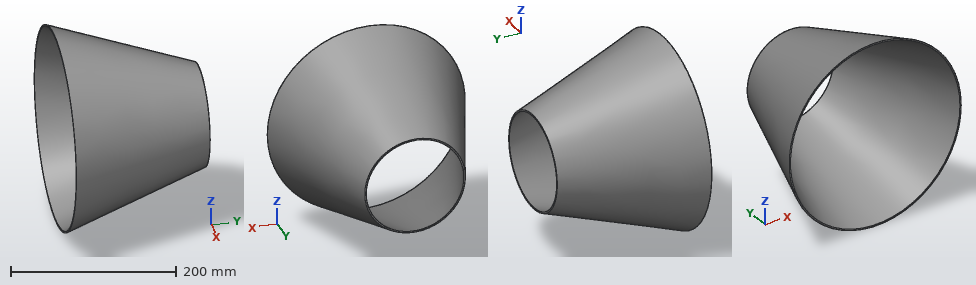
import cadquery as cq

wide_diameter = 254.0
narrow_diameter = 129.0
length = 178.0
wall = 2.0

wide_radius = wide_diameter / 2
narrow_radius = narrow_diameter / 2

wall_section = [
    (wide_radius - wall, 0),
    (wide_radius, 0),
    (narrow_radius, length),
    (narrow_radius - wall, length),
]

result = (
    cq.Workplane("XY")
    .polyline(wall_section)
    .close()
    .revolve(360, (0, 0), (0, 1))
)